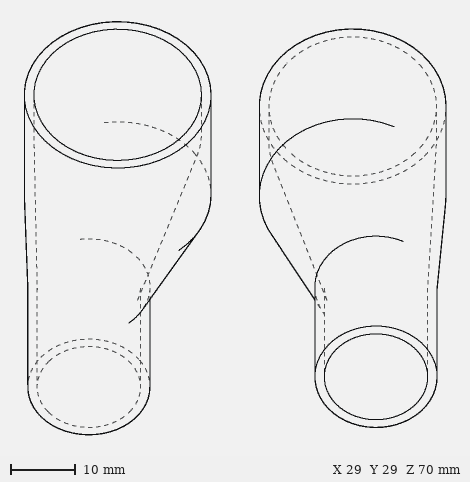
import cadquery as cq

total_height = 70.0
socket_length = 25.0
large_outer_diameter = 29.0
large_inner_diameter = 26.0
small_outer_diameter = 19.0
small_inner_diameter = 16.0
large_bore_depth = 10.0

small_axis_y = -(large_outer_diameter - small_outer_diameter) / 2


def reducer_body(large_diameter, small_diameter, large_length, small_length):
    """Solid small cylinder, offset cone and large cylinder stacked along Z."""
    cone_top = total_height - large_length
    small_end = (
        cq.Workplane("XY", origin=(0, small_axis_y, 0))
        .circle(small_diameter / 2)
        .extrude(small_length)
    )
    cone = (
        cq.Workplane("XY", origin=(0, small_axis_y, small_length))
        .circle(small_diameter / 2)
        .workplane(offset=cone_top - small_length)
        .center(0, -small_axis_y)
        .circle(large_diameter / 2)
        .loft(ruled=True)
    )
    large_end = (
        cq.Workplane("XY", origin=(0, 0, cone_top))
        .circle(large_diameter / 2)
        .extrude(large_length)
    )
    return small_end.union(cone).union(large_end)


outer_body = reducer_body(
    large_outer_diameter, small_outer_diameter, socket_length, socket_length
)
bore = reducer_body(
    large_inner_diameter, small_inner_diameter, large_bore_depth, socket_length
)
result = outer_body.cut(bore)